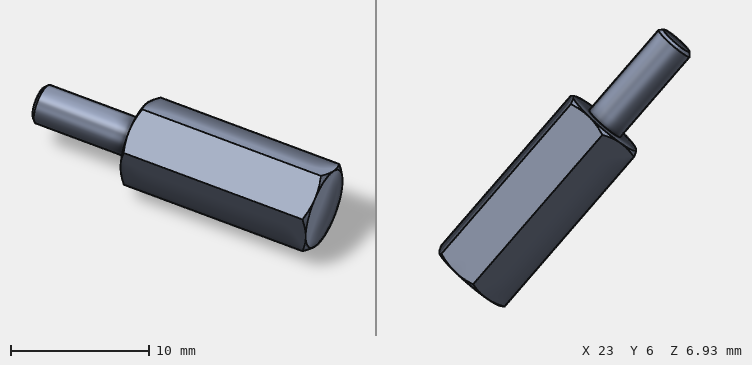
import cadquery as cq
import math

total_length = 23.0
stud_length = 8.0
stud_diameter = 3.0
stud_chamfer = 0.25
across_flats = 6.0
corner_chamfer_angle = 30.0

hex_length = total_length - stud_length
across_corners = across_flats / math.cos(math.radians(30))
flat_radius = across_flats / 2
corner_radius = across_corners / 2
corner_chamfer_depth = (corner_radius - flat_radius) * math.tan(math.radians(corner_chamfer_angle))


def hex_body():
    """Hexagonal bar from X = 0, corners up and down, with both ends turned conical."""
    corners = [
        (corner_radius * math.sin(math.radians(60 * i)), corner_radius * math.cos(math.radians(60 * i)))
        for i in range(6)
    ]
    bar = cq.Workplane("YZ").polyline(corners).close().extrude(hex_length)
    turned_envelope = (
        cq.Workplane("XY")
        .moveTo(0, 0)
        .lineTo(0, flat_radius)
        .lineTo(corner_chamfer_depth, corner_radius)
        .lineTo(hex_length - corner_chamfer_depth, corner_radius)
        .lineTo(hex_length, flat_radius)
        .lineTo(hex_length, 0)
        .close()
        .revolve(360, (0, 0, 0), (1, 0, 0))
    )
    return bar.intersect(turned_envelope)


def stud():
    """Round stud reaching from the hexagon to its chamfered tip."""
    cylinder = cq.Workplane("YZ").circle(stud_diameter / 2).extrude(-stud_length)
    return cylinder.faces("<X").chamfer(stud_chamfer)


result = hex_body().union(stud())